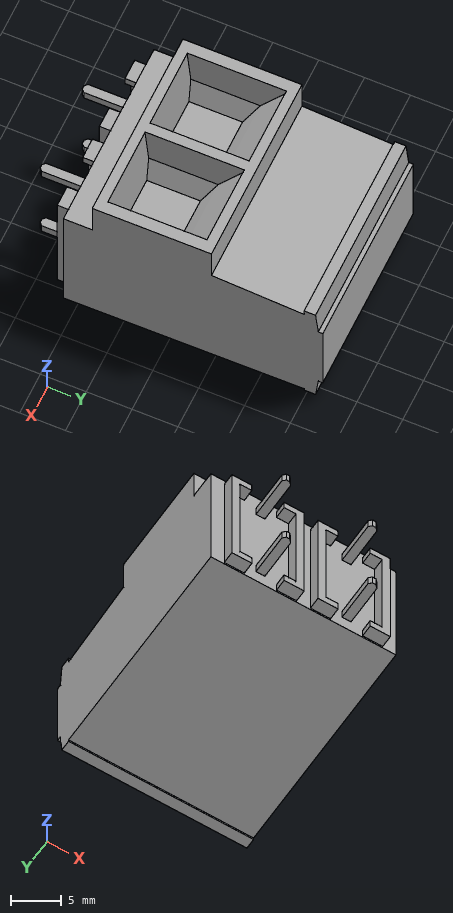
import cadquery as cq


width = 21.84
depth = 28.3
height = 18.795
pitch = 10.16
pole_centers = (-pitch / 2, pitch / 2)

tower_height = 4.0
tower_front = 3.15
tower_length = 13.0
tower_back = tower_front + tower_length
shoulder = height - tower_height

ridge_front = 26.25
ridge_back = 27.5
top_groove_depth = 0.65
bottom_groove_depth = 0.25
panel_bottom = 2.7
panel_top = 11.9
panel_base = 27.8

opening_width = 9.0
opening_margin = 1.1
opening_front = tower_front + opening_margin
opening_back = tower_back - opening_margin
rim_depth = 0.4
taper_depths = (3.25, 2.05)
taper_side_insets = (0.55, 1.3)
taper_front_insets = (0.62, 0.38)
taper_back_insets = (2.6, 1.35)

standoff_height = 1.4
standoff_span = 8.53
standoff_wall = 0.96
standoff_lip = 2.37
standoff_bottom = 0.25
standoff_top = shoulder - top_groove_depth

pin_size = 1.05
pin_length = 5.1
pin_tip_chamfer = 0.33
pin_low = 2.15
pin_levels = (pin_low, pin_low + pitch)


def make_housing():
    """Side outline in the YZ plane, extruded across the full width."""
    outline = [
        (0, 0),
        (ridge_front, bottom_groove_depth),
        (ridge_front, 0),
        (ridge_back, 0),
        (panel_base, panel_bottom),
        (depth, panel_bottom),
        (depth, panel_top),
        (panel_base, panel_top),
        (ridge_back, shoulder),
        (ridge_front, shoulder),
        (ridge_front, shoulder - top_groove_depth),
        (tower_back, shoulder),
        (tower_back, height),
        (tower_front, height),
        (tower_front, shoulder),
        (0, shoulder),
    ]
    return cq.Workplane("YZ").polyline(outline).close().extrude(width / 2, both=True)


def opening_section(center_x, half_width, front, back, level):
    """Horizontal rectangular wire of an opening at the given height."""
    corners = [
        cq.Vector(center_x - half_width, front, level),
        cq.Vector(center_x + half_width, front, level),
        cq.Vector(center_x + half_width, back, level),
        cq.Vector(center_x - half_width, back, level),
    ]
    return cq.Wire.makePolygon(corners, close=True)


def make_opening(center_x):
    """Void of one clamp opening: rim and tapered stages stacked downwards."""
    half_width = opening_width / 2
    front = opening_front
    back = opening_back
    level = height - rim_depth
    rim_wire = opening_section(center_x, half_width, front, back, level)
    void = cq.Workplane(cq.Solid.extrudeLinear(rim_wire, [], cq.Vector(0, 0, rim_depth)))
    stages = zip(taper_depths, taper_side_insets, taper_front_insets, taper_back_insets)
    for drop, side_inset, front_inset, back_inset in stages:
        upper = opening_section(center_x, half_width, front, back, level)
        half_width -= side_inset
        front += front_inset
        back -= back_inset
        level -= drop
        lower = opening_section(center_x, half_width, front, back, level)
        void = void.union(cq.Workplane(cq.Solid.makeLoft([upper, lower], True)))
    return void


def make_standoff(center_x, side):
    """C-shaped standoff on one side (-1 or +1) of a pole, open towards the pins."""
    outer = center_x + side * standoff_span / 2
    inner = outer - side * standoff_wall
    lip_end = outer - side * standoff_lip
    outline = [
        (outer, standoff_bottom),
        (lip_end, standoff_bottom),
        (lip_end, standoff_bottom + standoff_wall),
        (inner, standoff_bottom + standoff_wall),
        (inner, standoff_top - standoff_wall),
        (lip_end, standoff_top - standoff_wall),
        (lip_end, standoff_top),
        (outer, standoff_top),
    ]
    return cq.Workplane("XZ").polyline(outline).close().extrude(standoff_height)


def make_pin(center_x, center_z):
    """Square pin pointing to -Y, its tip chamfered on the two X sides."""
    pin = cq.Workplane("XZ").center(center_x, center_z).rect(pin_size, pin_size).extrude(pin_length)
    return pin.faces("<Y").edges("|Z").chamfer(pin_tip_chamfer)


result = make_housing()
for pole_x in pole_centers:
    result = result.cut(make_opening(pole_x))
    for side in (-1, 1):
        result = result.union(make_standoff(pole_x, side))
    for pin_z in pin_levels:
        result = result.union(make_pin(pole_x, pin_z))